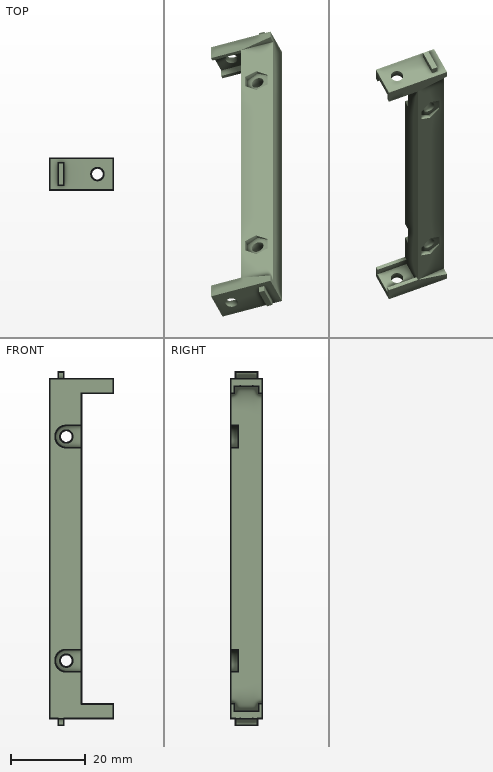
import cadquery as cq
import math

total_height = 94.6
tab_height = 1.8
body_height = total_height - 2 * tab_height
arm_length = 17.0
depth = 8.5
post_width = 8.5
arm_thickness = 4.0
half_body = body_height / 2
front_y = -depth / 2
back_y = depth / 2

tab_thickness = 1.5
tab_center_x = 3.0
tab_depth = 6.0

hole_diameter = 3.3
post_hole_x = 4.4
post_hole_z = 30.0
arm_hole_x = (post_width + arm_length) / 2
pocket_width = 6.0
pocket_depth = 2.0
channel_width = 6.5
nut_across_flats = 5.9
nut_trap_depth = 2.0

relief_depth = 2.1
rim_thickness = 2.0


def box_between(low, high):
    """Axis-aligned box given by two opposite corners."""
    size = [b - a for a, b in zip(low, high)]
    return cq.Workplane("XY").box(*size, centered=False).translate(low)


def make_frame():
    body = box_between((0, front_y, -half_body), (arm_length, back_y, half_body))
    inner_half = half_body - arm_thickness
    opening = box_between((post_width, front_y, -inner_half), (arm_length, back_y, inner_half))
    tabs = cq.Workplane("XY").box(tab_thickness, tab_depth, total_height).translate((tab_center_x, 0, 0))
    return body.cut(opening).union(tabs)


def make_back_relief():
    """Wedge whose depth and end faces both taper away toward the inner edge of the post."""
    outer_half = half_body - rim_thickness
    inner_half = half_body - arm_thickness
    wedge = (
        cq.Workplane("XY")
        .polyline([(0, back_y - relief_depth), (post_width, back_y), (0, back_y)])
        .close()
        .extrude(half_body, both=True)
    )
    tapered_ends = (
        cq.Workplane("XZ")
        .polyline([(0, -outer_half), (post_width, -inner_half), (post_width, inner_half), (0, outer_half)])
        .close()
        .extrude(depth, both=True)
    )
    return wedge.intersect(tapered_ends)


def make_post_screw_seat(z):
    """Through hole with an open-sided U pocket at the front and a hexagonal nut trap at the back."""
    hole = cq.Workplane("XZ").center(post_hole_x, z).circle(hole_diameter / 2).extrude(depth, both=True)
    pocket_floor = front_y + pocket_depth
    round_end = (
        cq.Workplane("XZ", origin=(post_hole_x, pocket_floor, z))
        .circle(pocket_width / 2)
        .extrude(pocket_depth)
    )
    open_side = box_between(
        (post_hole_x, front_y, z - pocket_width / 2),
        (post_width, pocket_floor, z + pocket_width / 2),
    )
    nut_across_corners = nut_across_flats / math.cos(math.pi / 6)
    nut_trap = (
        cq.Workplane("XZ", origin=(post_hole_x, back_y, z))
        .transformed(rotate=(0, 0, 90))
        .polygon(6, nut_across_corners)
        .extrude(nut_trap_depth)
    )
    return hole.union(round_end).union(open_side).union(nut_trap)


def make_arm_channel(side):
    """Channel along the inner face of one arm; side is +1 for the top arm, -1 for the bottom."""
    channel_depth = arm_thickness - rim_thickness
    channel_center_z = side * (half_body - arm_thickness + channel_depth / 2)
    return (
        cq.Workplane("XY")
        .box(arm_length - post_width, channel_width, channel_depth)
        .translate((arm_hole_x, 0, channel_center_z))
    )


arm_holes = cq.Workplane("XY").center(arm_hole_x, 0).circle(hole_diameter / 2).extrude(total_height, both=True)

result = make_frame().cut(make_back_relief()).cut(arm_holes)
for end in (1, -1):
    result = result.cut(make_post_screw_seat(end * post_hole_z))
    result = result.cut(make_arm_channel(end))